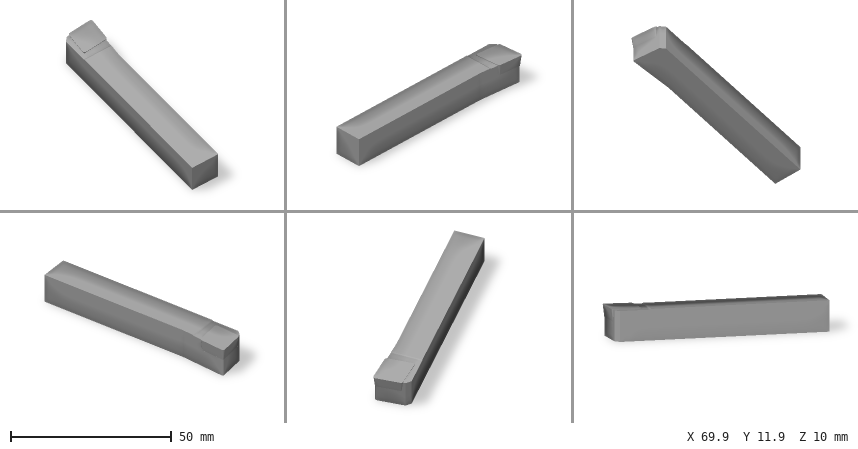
import cadquery as cq
import math

length = 69.9
overall_width = 11.9
shank_size = 10.0

insert_angle = 80.0
insert_side = 9.65
insert_thickness = 4.0
relief_angle = 7.0
nose_radius = 0.8
lead_angle = (90.0 - insert_angle) / 2

head_corner_radius = 0.5
chamfer_length = 1.5
head_drop = 0.2
step_start = 12.4
step_end = 12.8

lead = math.radians(lead_angle)
half_angle = math.radians(insert_angle / 2)
diagonal = math.cos(math.pi / 4)

nose_overhang = nose_radius / math.sin(half_angle) * diagonal - nose_radius
nose_tip = (-nose_overhang, overall_width + nose_overhang)

flank_inset = insert_thickness * math.tan(math.radians(relief_angle))
tip_inset = flank_inset / math.sin(half_angle) * diagonal
head_tip = (nose_tip[0] + tip_inset, nose_tip[1] - tip_inset)


def rhombus_points():
    """Sharp corners of the insert's top face, starting at the nose."""
    x, y = nose_tip
    long_step = insert_side * math.cos(lead)
    short_step = insert_side * math.sin(lead)
    return [
        (x, y),
        (x + short_step, y - long_step),
        (x + short_step + long_step, y - short_step - long_step),
        (x + long_step, y - short_step),
        (x, y),
    ]


def tapered_rhombus(corner_radius=0.0):
    """Insert shape, narrowing downwards, with sharp or rounded corners."""
    outline = cq.Sketch().polygon(rhombus_points())
    if corner_radius > 0:
        outline = outline.vertices().fillet(corner_radius)
    return (
        cq.Workplane("XY", origin=(0, 0, shank_size))
        .placeSketch(outline.reset())
        .extrude(-insert_thickness, taper=relief_angle)
    )


def head_top_cut():
    """Shallow step across the head top, with a ramp up to the shank."""
    floor = shank_size - head_drop
    return (
        cq.Workplane("XZ", origin=(0, overall_width, 0))
        .polyline([(0, floor), (step_start, floor), (step_end, shank_size), (0, shank_size)])
        .close()
        .extrude(overall_width)
    )


def make_holder():
    """Square shank and its slanted head, with a pocket for the insert."""
    flank_end = head_tip[0] + (head_tip[1] - shank_size) / math.tan(lead)
    chamfer_x = head_tip[0] + (head_tip[1] - chamfer_length) * math.tan(lead)
    body = (
        cq.Workplane("XY")
        .polyline([
            head_tip,
            (flank_end, shank_size),
            (length, shank_size),
            (length, 0),
            (chamfer_x + chamfer_length, 0),
            (chamfer_x, chamfer_length),
        ])
        .close()
        .extrude(shank_size)
    )
    body = body.edges(cq.selectors.NearestToPointSelector((*head_tip, shank_size / 2)))
    body = body.fillet(head_corner_radius)
    return body.cut(head_top_cut()).cut(tapered_rhombus())


holder = make_holder()
insert = tapered_rhombus(nose_radius)

result = cq.Compound.makeCompound([holder.val(), insert.val()])